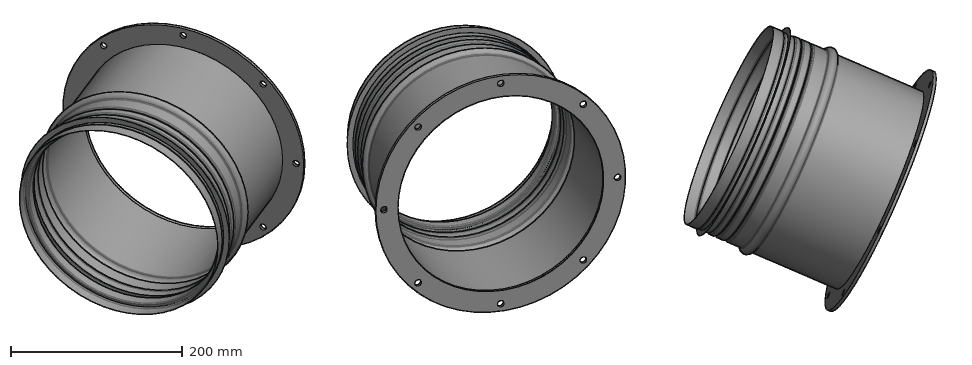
import cadquery as cq
import math

length = 197.0
wall = 0.45
duct_radius = 252.5 / 2

diagonal = math.sqrt(0.5)
tolerance = 3.06e-06

flange_radius = 306.0 / 2
flange_thickness = 4.0
bolt_count = 8
bolt_hole_diameter = 8.0
bolt_circle_radius = 143.2

bead_y = 76.5
bead_top_radius = 131.5
bead_round = 6.5
bead_blend = 1.0

crimp_ys = (37.3, 50.2)
liner_bore_radius = 247.0 / 2
crimp_depth = duct_radius - wall - liner_bore_radius
crimp_lip_round = 1.68
crimp_bottom_round = crimp_depth - crimp_lip_round
crimp_flat = 0.5
crimp_half_width = crimp_depth + crimp_flat / 2

groove_start_y = 13.0
groove_end_y = 30.0
groove_bottom_radius = 120.4
groove_lip_round = 1.68
groove_bottom_round = 1.07
groove_depth = duct_radius - groove_bottom_radius

seal_radius = 250.5 / 2
seal_edge_round = 1.5
fin_radius = 264.7 / 2
fin_y = 19.0
fin_thickness = 0.3


def revolve(profile):
    """Turn a closed (radius, Y) profile about the Y axis."""
    return profile.close().revolve(360, (0, 0, 0), (0, 1, 0))


def add_bead(profile, inset):
    """Add the bead to a wall outline that lies `inset` inside the outer face of the duct."""
    ridge_center = bead_top_radius - bead_round
    blend_center = duct_radius + bead_blend
    ridge = bead_round - inset
    blend = bead_blend + inset
    rise = blend_center - ridge_center
    half_width = math.sqrt((ridge + blend) ** 2 - rise**2)
    angle = math.asin(rise / (ridge + blend))
    tangent_r = ridge_center + ridge * math.sin(angle)
    tangent_dy = ridge * math.cos(angle)
    blend_angle = (math.pi / 2 + angle) / 2
    blend_mid_r = blend_center - blend * math.sin(blend_angle)
    blend_mid_dy = half_width - blend * math.cos(blend_angle)
    return (
        profile.lineTo(duct_radius - inset, bead_y - half_width)
        .threePointArc((blend_mid_r, bead_y - blend_mid_dy), (tangent_r, bead_y - tangent_dy))
        .threePointArc((ridge_center + ridge, bead_y), (tangent_r, bead_y + tangent_dy))
        .threePointArc((blend_mid_r, bead_y + blend_mid_dy), (duct_radius - inset, bead_y + half_width))
    )


def add_step(profile, start, end, start_round, end_round):
    """Add a radial step from the current point `start` to `end`, with a tangent quarter round at each."""
    (r0, y0), (r1, y1) = start, end
    side = math.copysign(1, r1 - r0)
    wall_y = y0 + start_round
    wall_start_r = r0 + side * start_round
    wall_end_r = r1 - side * end_round
    profile = profile.threePointArc(
        (r0 + side * start_round * (1 - diagonal), y0 + start_round * diagonal),
        (wall_start_r, wall_y),
    )
    if abs(wall_end_r - wall_start_r) > tolerance:
        profile = profile.lineTo(wall_end_r, wall_y)
    return profile.threePointArc(
        (r1 - side * end_round * (1 - diagonal), y1 - end_round * diagonal),
        (r1, y1),
    )


def add_recess(profile, start_y, end_y, depth, lip_round, bottom_round, inset):
    """Add an inward recess; `start_y` and `end_y` are where its lip rounds begin."""
    top = duct_radius - inset
    bottom = top - depth
    lip = lip_round - inset
    heel = bottom_round + inset
    step_width = lip + heel
    profile = profile.lineTo(top, start_y)
    profile = add_step(profile, (top, start_y), (bottom, start_y + step_width), lip, heel)
    profile = profile.lineTo(bottom, end_y - step_width)
    return add_step(profile, (bottom, end_y - step_width), (top, end_y), heel, lip)


def duct_core(inset):
    """Solid inside the duct wall outline, `inset` below the outer face."""
    profile = cq.Workplane("XY").lineTo(duct_radius - inset, 0)
    profile = add_recess(
        profile, groove_start_y, groove_end_y, groove_depth, groove_lip_round, groove_bottom_round, inset
    )
    for y in crimp_ys:
        profile = add_recess(
            profile,
            y - crimp_half_width,
            y + crimp_half_width,
            crimp_depth,
            crimp_lip_round,
            crimp_bottom_round,
            inset,
        )
    profile = add_bead(profile, inset)
    return revolve(profile.lineTo(duct_radius - inset, length).lineTo(0, length))


def make_duct():
    """Thin sheet tube with the bead, crimps and seal groove rolled into it."""
    return duct_core(0).cut(duct_core(wall))


def make_flange():
    """Flat ring around the end of the duct, with a circle of bolt holes."""
    return (
        cq.Workplane("XZ", origin=(0, length, 0))
        .circle(flange_radius)
        .circle(duct_radius)
        .extrude(flange_thickness)
        .faces("<Y")
        .workplane(origin=(0, 0, 0))
        .polarArray(bolt_circle_radius, 0, 360, bolt_count)
        .hole(bolt_hole_diameter)
    )


def make_liner():
    """Ring inside the duct that fills the space between the two crimps."""
    top = duct_radius - wall
    lip = crimp_lip_round - wall
    heel = crimp_bottom_round + wall
    first_crimp_y, last_crimp_y = crimp_ys
    start_y = first_crimp_y + crimp_flat / 2
    end_y = last_crimp_y - crimp_flat / 2
    profile = cq.Workplane("XY").moveTo(liner_bore_radius, start_y)
    profile = add_step(profile, (liner_bore_radius, start_y), (top, start_y + crimp_depth), heel, lip)
    profile = profile.lineTo(top, end_y - crimp_depth)
    profile = add_step(profile, (top, end_y - crimp_depth), (liner_bore_radius, end_y), lip, heel)
    return revolve(profile)


def make_seal():
    """Rubber band that fills the seal groove and carries a thin fin."""
    start_y = groove_start_y + groove_lip_round
    end_y = groove_end_y - groove_lip_round
    width = end_y - start_y
    band = (
        cq.Workplane("XZ", origin=(0, start_y, 0))
        .circle(seal_radius)
        .circle(groove_bottom_radius)
        .extrude(-width)
    )
    band = band.edges(cq.selectors.RadiusNthSelector(0)).fillet(groove_bottom_round)
    band = band.edges(cq.selectors.RadiusNthSelector(-1)).fillet(seal_edge_round)
    fin = (
        cq.Workplane("XZ", origin=(0, fin_y, 0))
        .circle(fin_radius)
        .circle(groove_bottom_radius + groove_bottom_round)
        .extrude(-fin_thickness)
    )
    return band.union(fin)


duct = make_duct()
flange = make_flange()
liner = make_liner()
seal = make_seal()

result = cq.Compound.makeCompound([duct.val(), flange.val(), liner.val(), seal.val()])